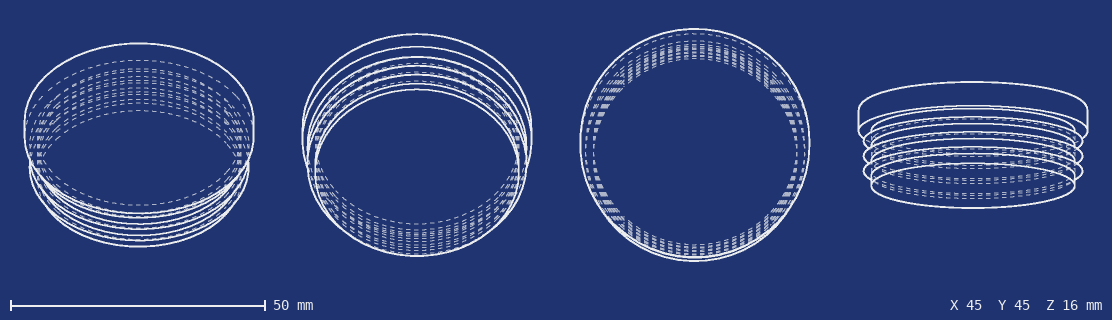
import cadquery as cq

head_diameter = 45
head_height = 5.0
head_edge_radius = 1.0
stem_diameter = 40.0
stem_height = 11.02

fin_diameter = 43.0
fin_height = 1.0
fin_count = 3
fin_pitch = 3.0
first_fin_base = 2.0


def make_stem():
    return cq.Workplane("XY").circle(stem_diameter / 2).extrude(stem_height)


def make_head():
    head = cq.Workplane("XY").workplane(offset=stem_height).circle(head_diameter / 2).extrude(head_height)
    return head.faces(">Z").edges().fillet(head_edge_radius)


def make_fin(base):
    """Cone widening upward from the stem surface to a sharp, flat-topped rim."""
    return cq.Workplane(
        cq.Solid.makeCone(stem_diameter / 2, fin_diameter / 2, fin_height, pnt=cq.Vector(0, 0, base))
    )


result = make_stem().union(make_head())
for index in range(fin_count):
    result = result.union(make_fin(first_fin_base + index * fin_pitch))